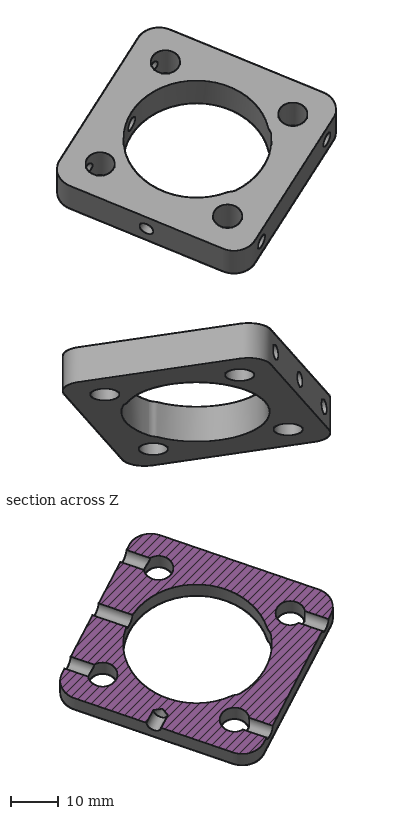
import cadquery as cq
import math

side = 46.0
thickness = 8.0
corner_radius = 4.95

bore_radius = 15.3
relief_radius = 15.75
relief_half_angle = 31.0
blend_radius = 2.46

corner_hole_diameter = 6.1
corner_hole_offset = 15.0

side_hole_diameter = 3.2
blind_hole_depth = 3.7
drill_tip_angle = 118.0


def polar(radius, angle):
    """Point in the XY plane at a radius and an angle in degrees."""
    a = math.radians(angle)
    return cq.Vector(radius * math.cos(a), radius * math.sin(a), 0)


def mirrored(point):
    return cq.Vector(point.x, -point.y, 0)


def opening():
    """Bore and relief joined by two tangent arcs of equal radius at each end."""
    inner_center_radius = relief_radius - blend_radius
    outer_center_radius = bore_radius + blend_radius
    center_distance = 2 * blend_radius
    blend_angle = math.degrees(math.acos(
        (inner_center_radius**2 + outer_center_radius**2 - center_distance**2)
        / (2 * inner_center_radius * outer_center_radius)
    ))
    bore_angle = relief_half_angle + blend_angle
    inner_center = polar(inner_center_radius, relief_half_angle)
    outer_center = polar(outer_center_radius, bore_angle)

    relief_end = polar(relief_radius, relief_half_angle)
    middle = (inner_center + outer_center) * 0.5
    bore_end = polar(bore_radius, bore_angle)

    def arc_middle(center, start, end):
        chord_middle = (start + end) * 0.5
        return center + (chord_middle - center).normalized() * blend_radius

    concave = arc_middle(inner_center, relief_end, middle)
    convex = arc_middle(outer_center, middle, bore_end)
    return (
        cq.Workplane("XY")
        .moveTo(relief_end.x, -relief_end.y)
        .threePointArc((relief_radius, 0), relief_end)
        .threePointArc(concave, middle)
        .threePointArc(convex, bore_end)
        .threePointArc((-bore_radius, 0), mirrored(bore_end))
        .threePointArc(mirrored(convex), mirrored(middle))
        .threePointArc(mirrored(concave), mirrored(relief_end))
        .close()
        .extrude(thickness)
    )


def side_hole(x, y, direction, depth):
    """Cylinder at mid-thickness that enters the plate at (x, y)."""
    return cq.Workplane(cq.Solid.makeCylinder(
        side_hole_diameter / 2, depth, cq.Vector(x, y, thickness / 2), cq.Vector(*direction)
    ))


def blind_front_hole():
    """Drilled hole in the -Y side with a conical tip."""
    radius = side_hole_diameter / 2
    tip_length = radius / math.tan(math.radians(drill_tip_angle / 2))
    inward = (0, 1, 0)
    tip = cq.Solid.makeCone(
        radius, 0, tip_length,
        cq.Vector(0, blind_hole_depth - side / 2, thickness / 2), cq.Vector(*inward),
    )
    return side_hole(0, -side / 2, inward, blind_hole_depth).union(cq.Workplane(tip))


plate = (
    cq.Workplane("XY")
    .rect(side, side)
    .extrude(thickness)
    .edges("|Z")
    .fillet(corner_radius)
)
corner_holes = (
    cq.Workplane("XY")
    .rect(2 * corner_hole_offset, 2 * corner_hole_offset, forConstruction=True)
    .vertices()
    .circle(corner_hole_diameter / 2)
    .extrude(thickness)
)
result = plate.cut(opening()).cut(corner_holes).cut(blind_front_hole())

depth_to_corner_hole = side / 2 - corner_hole_offset
for x_sign in (-1, 1):
    for y_sign in (-1, 1):
        result = result.cut(side_hole(
            x_sign * side / 2, y_sign * corner_hole_offset, (-x_sign, 0, 0), depth_to_corner_hole
        ))

result = result.cut(side_hole(-side / 2, 0, (1, 0, 0), side / 2))